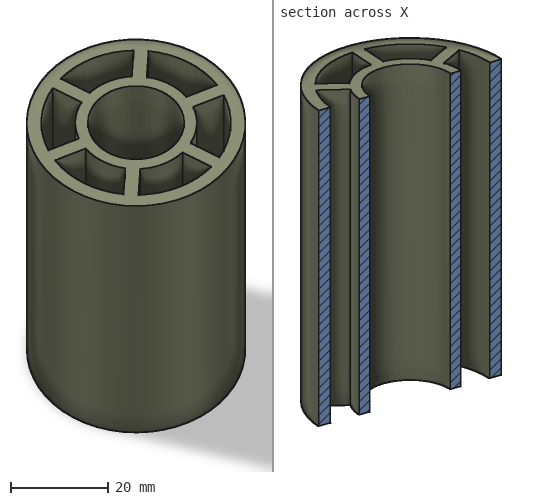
import cadquery as cq

height = 72.0
outer_diameter = 45.0
rim_inner_diameter = 39.0
hub_diameter = 25.0
bore_diameter = 19.8
spoke_width = 3.0
spoke_count = 6

spoke_start = (bore_diameter + hub_diameter) / 4
spoke_end = (rim_inner_diameter + outer_diameter) / 4


def tube(outer, inner):
    """Full-height tube centred on the Z axis."""
    return cq.Workplane("XY").circle(outer / 2).circle(inner / 2).extrude(height)


def spoke(angle):
    """Full-height radial web joining the hub to the rim."""
    length = spoke_end - spoke_start
    web = cq.Workplane("XY").box(length, spoke_width, height, centered=(False, True, False))
    return web.translate((spoke_start, 0, 0)).rotate((0, 0, 0), (0, 0, 1), angle)


rim = tube(outer_diameter, rim_inner_diameter)
hub = tube(hub_diameter, bore_diameter)

result = rim.union(hub)
for index in range(spoke_count):
    result = result.union(spoke(index * 360 / spoke_count))